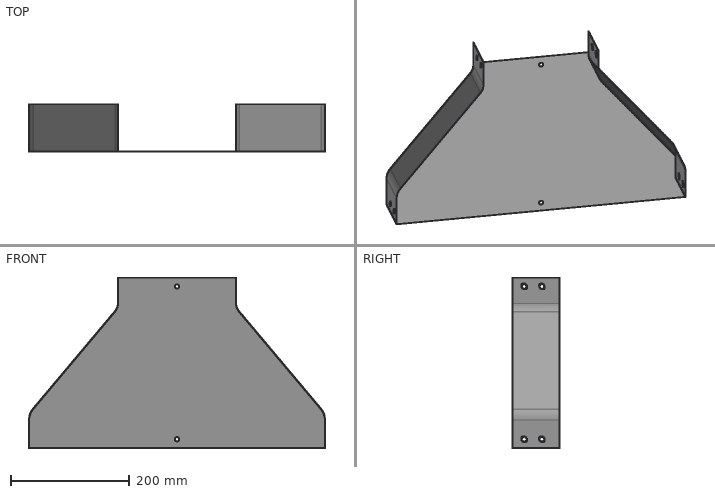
import cadquery as cq
import math

base_width = 500.0
top_width = 200.0
height = 288.0
depth = 80.0
sheet = 0.75

lower_corner_height = 58.5
upper_corner_drop = 51.0
lower_bend_radius = 28.0
upper_bend_radius = 21.5

hole_diameter = 7.0
wall_slot_length = 11.5
wall_slot_tilt = 45.0
hole_edge_distance = 15.0
first_wall_slot_depth = 20.0
wall_slot_spacing = 30.0
wall_slot_depths = (first_wall_slot_depth, first_wall_slot_depth + wall_slot_spacing)
hole_heights = (hole_edge_distance, height - hole_edge_distance)

wall_slope_angle = math.atan2(
    (base_width - top_width) / 2,
    height - upper_corner_drop - lower_corner_height,
)


def tapered_body(inset, start_depth):
    """Prism of the tapered outline, moved inward by inset at its sides, reaching to the rear."""
    corner_shift = inset * math.tan(wall_slope_angle / 2)
    base_x = base_width / 2 - inset
    top_x = top_width / 2 - inset
    lower_z = lower_corner_height - corner_shift
    upper_z = height - upper_corner_drop - corner_shift
    body = (
        cq.Workplane("XZ", origin=(0, start_depth, 0))
        .polyline([
            (-base_x, 0),
            (base_x, 0),
            (base_x, lower_z),
            (top_x, upper_z),
            (top_x, height),
            (-top_x, height),
            (-top_x, upper_z),
            (-base_x, lower_z),
        ])
        .close()
        .extrude(start_depth - depth)
    )
    for corner_x, corner_z, radius in (
        (base_x, lower_z, lower_bend_radius - inset),
        (top_x, upper_z, upper_bend_radius + inset),
    ):
        for side in (-1, 1):
            x = side * corner_x
            corner = cq.selectors.NearestToPointSelector((x, (start_depth + depth) / 2, corner_z))
            body = body.edges("|Y").edges(corner).fillet(radius)
    return body


def front_holes():
    """Upper and lower holes through the front plate."""
    return (
        cq.Workplane("XZ")
        .pushPoints([(0, z) for z in hole_heights])
        .circle(hole_diameter / 2)
        .extrude(-2 * sheet)
    )


def wall_slots(side):
    """Tilted slots through the upright ends of one side wall; the two walls tilt opposite ways."""
    return (
        cq.Workplane("YZ")
        .pushPoints([(y, z) for y in wall_slot_depths for z in hole_heights])
        .slot2D(wall_slot_length, hole_diameter, -side * wall_slot_tilt)
        .extrude(side * base_width)
    )


result = (
    tapered_body(0, 0)
    .cut(tapered_body(sheet, sheet))
    .cut(front_holes())
    .cut(wall_slots(-1))
    .cut(wall_slots(1))
)